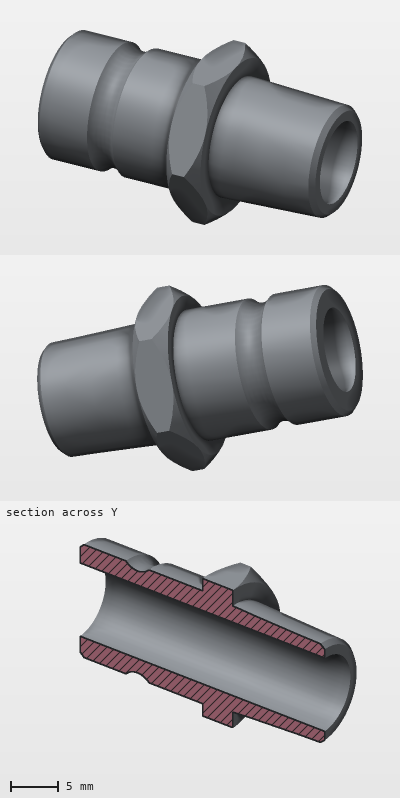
import cadquery as cq
import math

plug_length = 16.0
hex_width = 4.0
total_length = 32.0
hex_end = plug_length + hex_width

plug_radius = 7.0
plug_chamfer = 0.5

groove_start = 6.0
groove_width = 3.0
groove_arc_radius = 2.0

hex_sides = 6
across_flats = 17.0
across_corners = across_flats / math.cos(math.pi / hex_sides)

taper_root_radius = 6.58
taper_tip_radius = 6.11
tip_chamfer_length = 0.57
tip_chamfer_height = 0.5

bore_diameter = 9.0


def make_plug():
    """Chamfered cylinder with the locking groove, revolved about X."""
    groove_end = groove_start + groove_width
    groove_middle = groove_start + groove_width / 2
    groove_depth = groove_arc_radius - math.sqrt(groove_arc_radius**2 - (groove_width / 2) ** 2)
    return (
        cq.Workplane("XY")
        .lineTo(0, plug_radius - plug_chamfer)
        .lineTo(plug_chamfer, plug_radius)
        .lineTo(groove_start, plug_radius)
        .threePointArc((groove_middle, plug_radius - groove_depth), (groove_end, plug_radius))
        .lineTo(plug_length, plug_radius)
        .lineTo(plug_length, 0)
        .close()
        .revolve(360, (0, 0, 0), (1, 0, 0))
    )


def make_hexagon():
    """Hexagonal prism whose corners are turned off at 45 degrees on both sides."""
    prism = (
        cq.Workplane("YZ", origin=(plug_length, 0, 0))
        .polygon(hex_sides, across_corners)
        .extrude(hex_width)
    )
    corner_radius = across_corners / 2
    face_radius = across_flats / 2
    corner_chamfer = corner_radius - face_radius
    turned_blank = (
        cq.Workplane("YZ", origin=(plug_length, 0, 0))
        .circle(corner_radius)
        .extrude(hex_width)
        .edges("%CIRCLE")
        .chamfer(corner_chamfer)
    )
    return prism.intersect(turned_blank)


def make_tapered_spigot():
    """Cone narrowing toward the far end, with a chamfered tip."""
    return (
        cq.Workplane("XY")
        .moveTo(hex_end, 0)
        .lineTo(hex_end, taper_root_radius)
        .lineTo(total_length - tip_chamfer_length, taper_tip_radius)
        .lineTo(total_length, taper_tip_radius - tip_chamfer_height)
        .lineTo(total_length, 0)
        .close()
        .revolve(360, (0, 0, 0), (1, 0, 0))
    )


def make_bore():
    """Straight passage through the whole fitting."""
    return cq.Workplane("YZ").circle(bore_diameter / 2).extrude(total_length)


result = make_plug().union(make_hexagon()).union(make_tapered_spigot()).cut(make_bore())